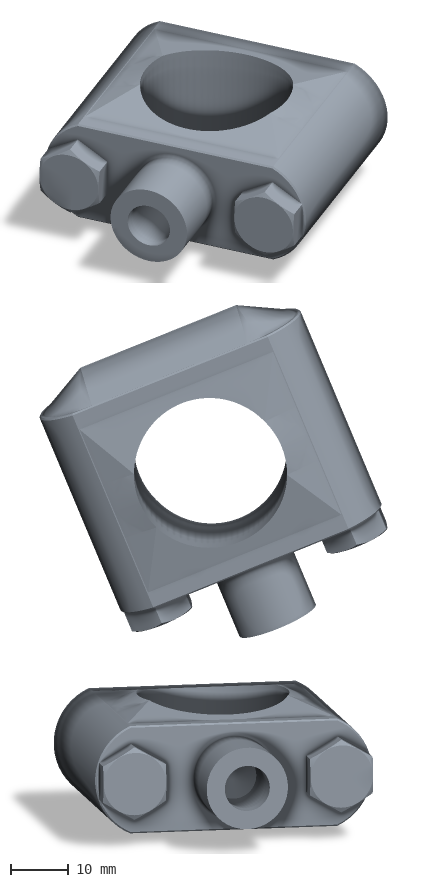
import cadquery as cq
import math

body_length = 49.0
body_depth = 37.35
body_thickness = 18.95
end_radius = 10.35
edge_chamfer = 0.25
bore_radius = 13.3

overall_height = 22.75
crown_base_half_x = 18.15
crown_base_half_y = 15.6
crown_ridge_half_y = 5.1
crown_inner_half_x = 5.45

wedge_half_height = 9.15
wedge_center_x = 14.6
wedge_slope = 29.5

overall_depth = 54.45
stub_radius = 7.2
stub_root_fillet = 0.5
stub_hole_radius = 4.0
stub_hole_depth = 12.0
drill_point_angle = 118.0

head_spacing = 36.6
head_across_flats = 11.1
head_height = 4.05
head_chamfer_angle = 30.0
head_face_radius = 5.5

body_half_depth = body_depth / 2
body_half_thickness = body_thickness / 2
wedge_rise = wedge_half_height * math.tan(math.radians(wedge_slope))
stub_end_y = body_half_depth + wedge_rise - overall_depth


def front_plane(y):
    """Plane at the given Y, facing the front (-Y), with local x along +X and local y along +Z."""
    return cq.Workplane("XZ", origin=(0, y, 0))


def make_body():
    end_center_x = body_length / 2 - end_radius
    corner_x = end_center_x + math.sqrt(end_radius**2 - body_half_thickness**2)
    return (
        front_plane(body_half_depth)
        .moveTo(-corner_x, body_half_thickness)
        .lineTo(corner_x, body_half_thickness)
        .threePointArc((body_length / 2, 0), (corner_x, -body_half_thickness))
        .lineTo(-corner_x, -body_half_thickness)
        .threePointArc((-body_length / 2, 0), (-corner_x, body_half_thickness))
        .close()
        .extrude(body_depth)
        .faces("<Y or >Y")
        .chamfer(edge_chamfer)
    )


def make_crown():
    """Top pad: four sloping planes, with ruled cheeks that meet the bore rim on the two X sides."""
    rise = overall_height / 2 - body_half_thickness
    ridge_half_x = math.sqrt(bore_radius**2 - crown_ridge_half_y**2)
    base = cq.Workplane("XY", origin=(0, 0, body_half_thickness))
    crown = (
        base.rect(2 * crown_base_half_x, 2 * crown_base_half_y)
        .workplane(offset=rise)
        .rect(2 * ridge_half_x, 2 * crown_ridge_half_y)
        .loft(ruled=True)
    )
    cheek = (
        base.moveTo(crown_inner_half_x, -crown_ridge_half_y)
        .lineTo(crown_base_half_x, -crown_ridge_half_y)
        .lineTo(crown_base_half_x, 0)
        .lineTo(crown_base_half_x, crown_ridge_half_y)
        .lineTo(crown_inner_half_x, crown_ridge_half_y)
        .close()
        .workplane(offset=rise)
        .moveTo(crown_inner_half_x, -crown_ridge_half_y)
        .lineTo(ridge_half_x, -crown_ridge_half_y)
        .threePointArc(rim_point(-crown_ridge_half_y / 2), (bore_radius, 0))
        .threePointArc(rim_point(crown_ridge_half_y / 2), (ridge_half_x, crown_ridge_half_y))
        .lineTo(crown_inner_half_x, crown_ridge_half_y)
        .close()
        .loft(ruled=True)
    )
    return crown.union(cheek).union(cheek.mirror("YZ"))


def rim_point(y):
    """Point of the bore rim on the +X side at the given Y."""
    return (math.sqrt(bore_radius**2 - y**2), y)


def make_wedge():
    """Triangular prism along X, finished at each end by a cone of the same slope."""
    wedge = (
        cq.Workplane("YZ", origin=(-wedge_center_x, 0, 0))
        .moveTo(body_half_depth, -wedge_half_height)
        .lineTo(body_half_depth + wedge_rise, 0)
        .lineTo(body_half_depth, wedge_half_height)
        .close()
        .extrude(2 * wedge_center_x)
    )
    for x in (-wedge_center_x, wedge_center_x):
        cone = cq.Solid.makeCone(
            wedge_half_height, 0, wedge_rise, cq.Vector(x, body_half_depth, 0), cq.Vector(0, 1, 0)
        )
        wedge = wedge.union(cq.Workplane(cone))
    return wedge


def make_stub():
    """Tube with a concave fillet at its root, as a profile of radius and Y turned about the Y axis."""
    root_radius = stub_radius + stub_root_fillet
    fillet_end_y = -body_half_depth - stub_root_fillet
    fillet_offset = stub_root_fillet * (1 - math.sqrt(0.5))
    return (
        cq.Workplane("XY")
        .moveTo(0, -body_half_depth)
        .lineTo(root_radius, -body_half_depth)
        .threePointArc(
            (stub_radius + fillet_offset, -body_half_depth - fillet_offset), (stub_radius, fillet_end_y)
        )
        .lineTo(stub_radius, stub_end_y)
        .lineTo(0, stub_end_y)
        .close()
        .revolve(360, (0, 0, 0), (0, 1, 0))
    )


def make_stub_hole():
    """Blind drilled hole with a conical bottom."""
    bottom_y = stub_end_y + stub_hole_depth
    point_length = stub_hole_radius / math.tan(math.radians(drill_point_angle / 2))
    return (
        cq.Workplane("XY")
        .moveTo(0, stub_end_y)
        .lineTo(stub_hole_radius, stub_end_y)
        .lineTo(stub_hole_radius, bottom_y)
        .lineTo(0, bottom_y + point_length)
        .close()
        .revolve(360, (0, 0, 0), (0, 1, 0))
    )


def make_bolt_head(x):
    """Hexagon head with corners up and down and its outer face turned to a cone."""
    across_corners = head_across_flats / math.cos(math.radians(30))
    corner_radius = across_corners / 2
    cone_height = (corner_radius - head_face_radius) * math.tan(math.radians(head_chamfer_angle))
    hexagon = (
        front_plane(-body_half_depth)
        .polygon(6, across_corners)
        .extrude(head_height)
        .rotate((0, 0, 0), (0, 1, 0), 30)
    )
    turned_blank = (
        cq.Workplane("XY")
        .moveTo(0, -body_half_depth)
        .lineTo(corner_radius, -body_half_depth)
        .lineTo(corner_radius, -body_half_depth - head_height + cone_height)
        .lineTo(head_face_radius, -body_half_depth - head_height)
        .lineTo(0, -body_half_depth - head_height)
        .close()
        .revolve(360, (0, 0, 0), (0, 1, 0))
    )
    return hexagon.intersect(turned_blank).translate((x, 0, 0))


crown = make_crown()
bore = cq.Workplane("XY", origin=(0, 0, -overall_height / 2)).circle(bore_radius).extrude(overall_height)

result = make_body().union(crown).union(crown.mirror("XY")).cut(bore)
result = result.union(make_wedge())
result = result.union(make_stub()).cut(make_stub_hole())
for head_x in (-head_spacing / 2, head_spacing / 2):
    result = result.union(make_bolt_head(head_x))